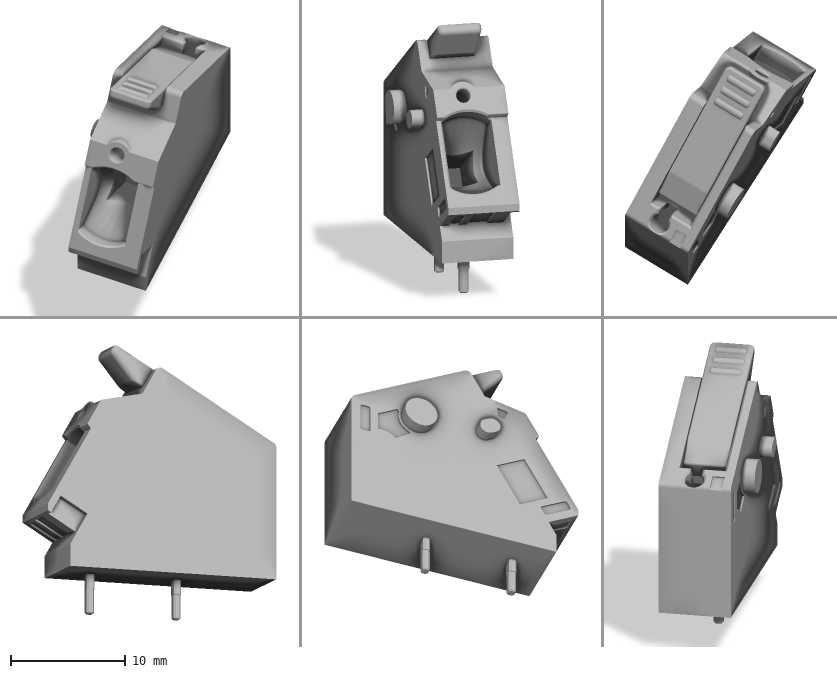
import cadquery as cq
import math

TILT = 30.0
SIN = math.sin(math.radians(TILT))
COS = math.cos(math.radians(TILT))

HOUSING_WIDTH = 5.0
BLOCK_WIDTH = 6.5
BLOCK_DEPTH = 21.35
FOOT_DEPTH = 19.29
SLOPE_BACK_HEIGHT = 12.0
CORNER_RADIUS = 0.5
VALLEY_RADIUS = 0.2
BROW_RADIUS = 0.07
STEP_RADIUS = 0.12
LEVER_FACE = 12.75
UPPER_FACE = 15.7
ENTRY_FACE = 15.22
FOOT_FACE = 11.68
VALLEY_BELOW = 3.0
BROW_BELOW = 5.64
UPPER_FACE_END = 8.18
ENTRY_FACE_START = 8.35
UNDERSIDE = 16.9

PEG_LENGTH = 1.15
PEG_RADIUS = 1.5
PEG_Y, PEG_Z = -6.14, 11.15
OVAL_PEG_Y, OVAL_PEG_Z = -12.63, 11.55
OVAL_PEG_WIDTH = 1.47
OVAL_PEG_LENGTH = 1.97
MARK_DEPTH = 0.2
BAR_LENGTH, BAR_WIDTH, BAR_RADIUS = 2.85, 0.95, 0.24
BACK_BAR_Y, BACK_BAR_Z = -1.3, 9.87
FRONT_BAR_Y, FRONT_BAR_Z = -19.24, 5.02
LABEL_Y, LABEL_Z = -16.08, 7.06
LABEL_LENGTH, LABEL_WIDTH = 4.4, 3.02
WEDGE_RADIUS = 0.12
PEG_CLEARANCE = 0.21

LEVER_LEFT, LEVER_RIGHT = 0.97, 4.95
LEVER_BACK = 3.1
LEVER_RIDGE = 5.6
LEVER_RIDGE_RADIUS = 0.95
LEVER_BACK_BELOW = 0.67
LEVER_TIP = 16.7
LEVER_TIP_THICKNESS = 0.83
LEVER_UNDERCUT_START = 13.82
LEVER_THICKNESS = 1.9
LEVER_EDGE_RADIUS = 0.2
LEVER_CORNER_RADIUS = 0.48
LEVER_TIP_RADIUS = 0.48
GRIP_LEFT, GRIP_RIGHT = 1.5, 4.4
GRIP_FIRST, GRIP_PITCH, GRIP_COUNT = 13.36, 1.21, 3
GRIP_RADIUS, GRIP_SINK, GRIP_END_RADIUS = 0.43, 0.25, 0.21
CHANNEL_LEFT = 0.9
CHANNEL_BACK = 2.19
CHANNEL_LEDGE_BELOW, CHANNEL_LEDGE = 0.57, 0.07
CHANNEL_RELIEF = 2.25
LIP_CHAMFER = 0.2

BACK_HOLE_X, BACK_HOLE_ALONG = 3.45, 0.9
BACK_HOLE_RADIUS, BACK_HOLE_DEPTH, BACK_HOLE_CHAMFER = 0.85, 2.95, 0.2
BACK_SLOT_WIDTH = 1.12
BACK_SLOT_DROP = 1.33
BACK_SLOT_DEPTH = 4.05
FRONT_HOLE_BELOW = 6.3
FRONT_HOLE_RADIUS, FRONT_HOLE_DEPTH, FRONT_HOLE_FILLET = 0.62, 3.57, 0.2
BOSS_RADIUS, BOSS_LENGTH, BOSS_FILLET = 1.33, 1.43, 0.15

ENTRY_X = 2.66
ENTRY_BELOW = 11.46
ENTRY_RADIUS = 3.7
ENTRY_FLOOR = 13.7
ENTRY_CONE_HALF_ANGLE = 30.0
ENTRY_CONE_TIP = 0.48
ENTRY_LEFT = 0.52
ENTRY_BEVEL = 0.17
ENTRY_SIDE_RADIUS = 0.2
ENTRY_RIGHT_FLOOR = 13.94
ENTRY_RIGHT = 4.73
WIRE_HOLE_X = 2.73
WIRE_HOLE = 2.95
WIRE_HOLE_END = 5.7

CORNER_MARK_LEFT, CORNER_MARK_RIGHT, CORNER_MARK_END = 0.78, 1.88, 1.33
UNDER_MARK_LEFT, UNDER_MARK_RIGHT, UNDER_MARK_END = 0.75, 1.74, 14.43
UNDER_POCKET_LEFT, UNDER_POCKET_RIGHT, UNDER_POCKET_END = 2.43, 4.28, 14.58
RECESS_DEPTH = 0.17
COVER_NOTCH_LEFT, COVER_NOTCH_DEPTH = 5.8, 1.78

PIN_X = 2.83
BACK_PIN_Y, BACK_PIN_THICKNESS = -8.04, 0.67
FRONT_PIN_Y, FRONT_PIN_THICKNESS = -16.15, 0.71
PIN_LENGTH = 3.5
PIN_ROOT_WIDTH, PIN_WIDTH = 1.0, 0.83
PIN_ROOT_LENGTH = 1.33
PIN_CHAMFER = 0.17
PIN_TIP_CHAMFER = 0.12

PAST = 1.2


def tilted(along, below):
    """(y, z) of a point given along and below the sloping top."""
    return (-(along * COS + below * SIN), SLOPE_BACK_HEIGHT + along * SIN - below * COS)


def on_face(along, y):
    """(y, z) where a slanted face square to the slope reaches the given y."""
    return (y, SLOPE_BACK_HEIGHT + (along + y * COS) / SIN)


def on_underside(y):
    """(y, z) on the underside of the overhang at the given y."""
    return (y, SLOPE_BACK_HEIGHT - (UNDERSIDE + y * SIN) / COS)


def side_plane(x):
    """Tilted plane across X: local axes are along and below."""
    y, z = tilted(0, 0)
    return cq.Workplane(cq.Plane((x, y, z), (0, -COS, SIN), (1, 0, 0)))


def slope_plane(below):
    """Plane parallel to the slope, looking into the block: local axes are x and along."""
    y, z = tilted(0, below)
    return cq.Workplane(cq.Plane((0, y, z), (1, 0, 0), (0, -SIN, -COS)))


def face_plane(along):
    """Plane parallel to the entry face, looking into the block: local axes are x and below."""
    y, z = tilted(along, 0)
    return cq.Workplane(cq.Plane((0, y, z), (1, 0, 0), (0, COS, -SIN)))


def tilted_box(x_range, along_range, below_range):
    x0, x1 = x_range
    a0, a1 = along_range
    b0, b1 = below_range
    return side_plane(x0).moveTo((a0 + a1) / 2, (b0 + b1) / 2).rect(a1 - a0, b1 - b0).extrude(x1 - x0)


def nearest(x, point):
    return cq.selectors.NearestToPointSelector((x, *point))


def block(left, right):
    """The common outline of housing and cover, with its rounded corners."""
    back_corner = tilted(0, 0)
    apex = tilted(LEVER_FACE, 0)
    valley = tilted(LEVER_FACE, VALLEY_BELOW)
    brow = tilted(UPPER_FACE, BROW_BELOW)
    step = tilted(UPPER_FACE, UPPER_FACE_END)
    outline = [
        (0, 0),
        back_corner,
        apex,
        valley,
        brow,
        step,
        tilted(ENTRY_FACE, ENTRY_FACE_START),
        on_face(ENTRY_FACE, -BLOCK_DEPTH),
        on_underside(-BLOCK_DEPTH),
        tilted(FOOT_FACE, UNDERSIDE),
        on_face(FOOT_FACE, -FOOT_DEPTH),
        (-FOOT_DEPTH, 0),
    ]
    body = cq.Workplane("YZ", origin=(left, 0, 0)).polyline(outline).close().extrude(right - left)
    for corner, radius in [
        (back_corner, CORNER_RADIUS),
        (apex, CORNER_RADIUS),
        (valley, VALLEY_RADIUS),
        (brow, BROW_RADIUS),
        (step, STEP_RADIUS),
    ]:
        edge = nearest((left + right) / 2, corner)
        body = body.edges(edge).fillet(radius)
    return body


def pegs():
    """Round and oval pegs that couple to the next slice."""
    left_of_face = cq.Workplane("YZ", origin=(-PEG_LENGTH, 0, 0))
    round_peg = left_of_face.center(PEG_Y, PEG_Z).circle(PEG_RADIUS).extrude(PEG_LENGTH)
    oval_peg = (
        left_of_face.center(OVAL_PEG_Y, OVAL_PEG_Z)
        .slot2D(OVAL_PEG_LENGTH, OVAL_PEG_WIDTH, -TILT)
        .extrude(PEG_LENGTH)
    )
    return round_peg.union(oval_peg)


def face_bar(y, z, turn):
    """Round-cornered bar mark, upright when turn is 0."""
    bar = cq.Workplane("YZ").rect(BAR_WIDTH, BAR_LENGTH).extrude(MARK_DEPTH).edges("|X").fillet(BAR_RADIUS)
    return bar.rotate((0, 0, 0), (1, 0, 0), turn).translate((0, y, z))


def latch_mark():
    """Mark beside the round peg, with one side concentric to it."""
    def round_the_peg(angle):
        reach = PEG_RADIUS + PEG_CLEARANCE
        turn = math.radians(angle)
        return (PEG_Y + reach * math.cos(turn), PEG_Z + reach * math.sin(turn))

    return (
        cq.Workplane("YZ")
        .moveTo(-2.5, 10.75)
        .lineTo(-4.33, 11.82)
        .lineTo(*round_the_peg(15))
        .threePointArc(round_the_peg(-25), round_the_peg(-64))
        .lineTo(-5.6, 9.42)
        .lineTo(-4.14, 8.42)
        .threePointArc((-3.5, 8.9), (-2.5, 9.0))
        .close()
        .extrude(MARK_DEPTH)
    )


def wedge_mark():
    corners = [(-13.7, 14.85), (-14.77, 14.62), (-14.36, 13.67), (-13.8, 13.89)]
    return cq.Workplane("YZ").polyline(corners).close().extrude(MARK_DEPTH).edges("|X").fillet(WEDGE_RADIUS)


def label_mark():
    label = cq.Workplane("YZ").rect(LABEL_WIDTH, LABEL_LENGTH).extrude(MARK_DEPTH)
    return label.rotate((0, 0, 0), (1, 0, 0), -TILT).translate((0, LABEL_Y, LABEL_Z))


def lever_channel():
    """Open channel for the lever, with a small ledge in its back wall and a chamfered lip."""
    ledge = CHANNEL_BACK + CHANNEL_LEDGE
    front = LEVER_FACE + PAST
    outline = [
        (CHANNEL_BACK, -PAST),
        (CHANNEL_BACK, CHANNEL_LEDGE_BELOW),
        (ledge, CHANNEL_LEDGE_BELOW),
        (ledge, CHANNEL_RELIEF),
        (LEVER_BACK, CHANNEL_RELIEF),
        (LEVER_BACK, LEVER_THICKNESS),
        (front, LEVER_THICKNESS),
        (front, -PAST),
    ]
    channel = side_plane(CHANNEL_LEFT).polyline(outline).close().extrude(HOUSING_WIDTH - CHANNEL_LEFT)
    lip_left = CHANNEL_LEFT - LIP_CHAMFER
    lip_back = CHANNEL_BACK - LIP_CHAMFER
    lip = (
        slope_plane(0)
        .moveTo(lip_left, lip_back)
        .rect(HOUSING_WIDTH + PAST - lip_left, front - lip_back, centered=False)
        .extrude(LIP_CHAMFER, taper=45)
    )
    return channel.union(lip)


def back_hole():
    """Blind chamfered hole in the slope, joined to the lever channel by a slot that deepens on its way."""
    mouth_radius = BACK_HOLE_RADIUS + BACK_HOLE_CHAMFER
    above = slope_plane(-PAST).center(BACK_HOLE_X, BACK_HOLE_ALONG)
    hole = above.circle(BACK_HOLE_RADIUS).extrude(PAST + BACK_HOLE_DEPTH)
    surface = slope_plane(0).center(BACK_HOLE_X, BACK_HOLE_ALONG)
    mouth = surface.circle(mouth_radius).extrude(BACK_HOLE_CHAMFER, taper=45)

    slot_end = CHANNEL_BACK + CHANNEL_LEDGE
    slot_lip_width = BACK_SLOT_WIDTH + 2 * LIP_CHAMFER
    slot_lip = (
        slope_plane(0)
        .moveTo(BACK_HOLE_X - slot_lip_width / 2, BACK_HOLE_ALONG)
        .rect(slot_lip_width, slot_end + LIP_CHAMFER - BACK_HOLE_ALONG, centered=False)
        .extrude(LIP_CHAMFER, taper=45)
    )
    half = BACK_SLOT_WIDTH / 2
    sides = (BACK_HOLE_X - half, BACK_HOLE_X + half)
    slot = tilted_box(sides, (BACK_HOLE_ALONG, slot_end), (-PAST, BACK_HOLE_DEPTH))
    deep_slot = tilted_box(sides, (BACK_SLOT_DROP, slot_end), (0, BACK_SLOT_DEPTH))
    return hole.union(mouth).union(slot_lip).union(slot).union(deep_slot)


def front_boss():
    """Collar round the front test hole, flush with the upper face."""
    centre = face_plane(UPPER_FACE).center(ENTRY_X, FRONT_HOLE_BELOW)
    collar = centre.circle(BOSS_RADIUS).extrude(BOSS_LENGTH)
    rim = nearest(ENTRY_X, tilted(UPPER_FACE, FRONT_HOLE_BELOW))
    return collar.edges(rim).fillet(BOSS_FILLET)


def front_hole():
    centre = face_plane(UPPER_FACE).center(ENTRY_X, FRONT_HOLE_BELOW)
    return centre.circle(FRONT_HOLE_RADIUS).extrude(FRONT_HOLE_DEPTH)


def wire_entry():
    """Round mouth and cone, cut off flat at the left wall, open to the cover, with a square wire hole."""
    def disc(along, radius, depth, taper=0.0):
        return face_plane(along).center(ENTRY_X, ENTRY_BELOW).circle(radius).extrude(depth, taper=taper)

    top = UPPER_FACE + PAST
    mouth = disc(top, ENTRY_RADIUS, top - ENTRY_FLOOR)
    cone_depth = (ENTRY_RADIUS - ENTRY_CONE_TIP) / math.tan(math.radians(ENTRY_CONE_HALF_ANGLE))
    cone = disc(ENTRY_FLOOR, ENTRY_RADIUS, cone_depth, ENTRY_CONE_HALF_ANGLE)
    low = ENTRY_BELOW - ENTRY_RADIUS - PAST
    high = ENTRY_BELOW + ENTRY_RADIUS + PAST
    split = ENTRY_FACE_START
    sides = (ENTRY_LEFT, HOUSING_WIDTH)
    entry = mouth.union(cone).intersect(tilted_box(sides, (WIRE_HOLE_END, top), (low, high)))
    for face, below_range in [(UPPER_FACE, (low, split)), (ENTRY_FACE, (split, high))]:
        bevel = disc(face, ENTRY_RADIUS + ENTRY_BEVEL, ENTRY_BEVEL, 45)
        entry = entry.union(bevel.intersect(tilted_box(sides, (ENTRY_FLOOR, face), below_range)))

    right_chord = math.sqrt(ENTRY_RADIUS**2 - (ENTRY_RIGHT - ENTRY_X) ** 2)
    right_end = tilted_box(
        (ENTRY_RIGHT, HOUSING_WIDTH),
        (ENTRY_RIGHT_FLOOR, top),
        (ENTRY_BELOW, ENTRY_BELOW + right_chord),
    )

    half = WIRE_HOLE / 2
    wire_hole = tilted_box(
        (WIRE_HOLE_X - half, WIRE_HOLE_X + half),
        (WIRE_HOLE_END, ENTRY_FLOOR),
        (ENTRY_BELOW - half, ENTRY_BELOW + half),
    )
    return entry.union(right_end).union(wire_hole)


def left_bevel():
    """Bevel along the flat left side of the wire entry."""
    chord = math.sqrt(ENTRY_RADIUS**2 - (ENTRY_X - ENTRY_LEFT) ** 2)
    end = ENTRY_BELOW + chord
    corners = [
        (ENTRY_LEFT - ENTRY_BEVEL, ENTRY_FACE),
        (ENTRY_LEFT, ENTRY_FACE),
        (ENTRY_LEFT, ENTRY_FACE - ENTRY_BEVEL),
    ]
    return slope_plane(ENTRY_FACE_START).polyline(corners).close().extrude(end - ENTRY_FACE_START)


def small_recesses():
    """Shallow recess at the back of the slope and two under the overhang."""
    corner = tilted_box(
        (CORNER_MARK_LEFT, CORNER_MARK_RIGHT), (-PAST, CORNER_MARK_END), (-PAST, RECESS_DEPTH)
    )
    below_range = (UNDERSIDE - RECESS_DEPTH, UNDERSIDE)
    mark = tilted_box((UNDER_MARK_LEFT, UNDER_MARK_RIGHT), (FOOT_FACE, UNDER_MARK_END), below_range)
    short_edges = cq.selectors.ParallelDirSelector(cq.Vector(0, SIN, COS))
    mark = mark.edges(short_edges).fillet(BAR_RADIUS)
    pocket = tilted_box((UNDER_POCKET_LEFT, UNDER_POCKET_RIGHT), (FOOT_FACE, UNDER_POCKET_END), below_range)
    return [corner, mark, pocket]


def make_housing():
    housing = block(0, HOUSING_WIDTH).union(front_boss()).union(pegs())
    cuts = [
        face_bar(BACK_BAR_Y, BACK_BAR_Z, 0),
        face_bar(FRONT_BAR_Y, FRONT_BAR_Z, 90 - TILT),
        latch_mark(),
        wedge_mark(),
        label_mark(),
        lever_channel(),
        back_hole(),
        front_hole(),
        wire_entry(),
        left_bevel(),
        *small_recesses(),
    ]
    for cut in cuts:
        housing = housing.cut(cut)
    hole_rim = tilted(UPPER_FACE, FRONT_HOLE_BELOW)
    housing = housing.edges(nearest(ENTRY_X, hole_rim)).fillet(FRONT_HOLE_FILLET)
    return round_cover_side(housing)


def round_cover_side(housing):
    """Round the sharp ridge where the wire entry's cone runs out at the cover."""
    ridge = housing.edges(">X").edges("%HYPERBOLA").sort(lambda edge: -edge.Length())[:2]
    return ridge.fillet(ENTRY_SIDE_RADIUS)


def make_cover():
    """Side cover with the housing's outline and a notch open to its outer side and underside."""
    cover = block(HOUSING_WIDTH, BLOCK_WIDTH)
    notch = tilted_box(
        (COVER_NOTCH_LEFT, BLOCK_WIDTH),
        (FOOT_FACE, UNDER_POCKET_END),
        (UNDERSIDE - COVER_NOTCH_DEPTH, UNDERSIDE),
    )
    return cover.cut(notch)


def make_lever():
    """Release lever, flush with the slope, with a rounded tip and grip ridges."""
    outline = [
        (LEVER_BACK, LEVER_BACK_BELOW),
        (LEVER_RIDGE, 0),
        (LEVER_TIP, 0),
        (LEVER_TIP, LEVER_TIP_THICKNESS),
        (LEVER_UNDERCUT_START, LEVER_THICKNESS),
        (LEVER_BACK, LEVER_THICKNESS),
    ]
    lever = side_plane(LEVER_LEFT).polyline(outline).close().extrude(LEVER_RIGHT - LEVER_LEFT)
    middle = (LEVER_LEFT + LEVER_RIGHT) / 2
    for corner, radius in [
        ((LEVER_BACK, LEVER_BACK_BELOW), LEVER_EDGE_RADIUS),
        ((LEVER_RIDGE, 0), LEVER_RIDGE_RADIUS),
        ((LEVER_TIP, LEVER_TIP_THICKNESS), LEVER_TIP_RADIUS),
    ]:
        lever = lever.edges(nearest(middle, tilted(*corner))).fillet(radius)
    for x in (LEVER_LEFT, LEVER_RIGHT):
        tip_corner = nearest(x, tilted(LEVER_TIP, LEVER_TIP_THICKNESS / 2))
        lever = lever.edges(tip_corner).fillet(LEVER_CORNER_RADIUS)
    lever = lever.faces("<X or >X").edges().fillet(LEVER_EDGE_RADIUS)
    for number in range(GRIP_COUNT):
        lever = lever.union(grip_ridge(GRIP_FIRST + number * GRIP_PITCH))
    return lever


def grip_ridge(along):
    centre = side_plane(GRIP_LEFT).center(along, GRIP_SINK)
    ridge = centre.circle(GRIP_RADIUS).extrude(GRIP_RIGHT - GRIP_LEFT)
    return ridge.edges("%CIRCLE").fillet(GRIP_END_RADIUS)


def make_pin(y, thickness):
    """Solder pin with chamfered corners, stepping to a narrower shank with a chamfered tip."""
    def bar(width, start, length):
        shape = cq.Workplane("XY", origin=(PIN_X, y, start - length)).rect(width, thickness).extrude(length)
        return shape.edges("|Z").chamfer(PIN_CHAMFER)

    root = bar(PIN_ROOT_WIDTH, 0, PIN_ROOT_LENGTH)
    shank = bar(PIN_WIDTH, -PIN_ROOT_LENGTH, PIN_LENGTH - PIN_ROOT_LENGTH)
    shank = shank.faces("<Z").chamfer(PIN_TIP_CHAMFER)
    return root.union(shank)


housing = make_housing()
cover = make_cover()
lever = make_lever()
pins = [
    make_pin(y, thickness)
    for y, thickness in [(BACK_PIN_Y, BACK_PIN_THICKNESS), (FRONT_PIN_Y, FRONT_PIN_THICKNESS)]
]

bodies = [housing, cover, lever, *pins]
result = cq.Compound.makeCompound([body.solids().val() for body in bodies])